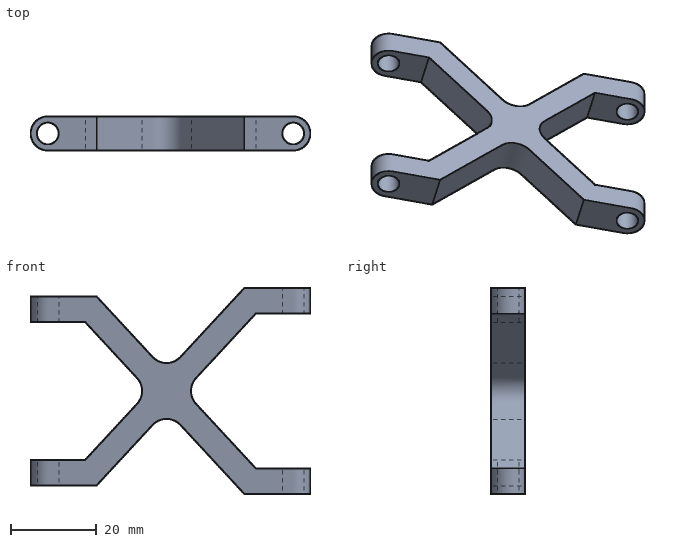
import cadquery as cq

length = 65.15
depth = 8.0
left_height = 44.05
right_height = 48.0
pad_thickness = 6.0
hole_diameter = 5.0
outer_knee_x = 17.2
inner_knee_x = 19.9
crotch_radius = 4.4

end_x = length / 2
end_radius = depth / 2
hole_x = end_x - end_radius
left_top = left_height / 2
right_top = right_height / 2
left_inner = left_top - pad_thickness
right_inner = right_top - pad_thickness


def crossing_on_axis(start, end):
    """X where the line through two (x, z) points meets z = 0."""
    fraction = start[1] / (start[1] - end[1])
    return start[0] + fraction * (end[0] - start[0])


def crossing_of_arms(left_start, left_end, right_start, right_end):
    """(x, z) where the upper edges of the two crossing arms meet."""
    left_slope = (left_end[1] - left_start[1]) / (left_end[0] - left_start[0])
    right_slope = (right_end[1] - right_start[1]) / (right_end[0] - right_start[0])
    rise = right_start[1] - left_start[1]
    x = (rise + left_slope * left_start[0] - right_slope * right_start[0]) / (left_slope - right_slope)
    return x, left_start[1] + left_slope * (x - left_start[0])


def make_cross():
    """X-shaped plate with a horizontal pad at the end of each arm."""
    left_outer_knee = (-outer_knee_x, left_top)
    left_inner_knee = (-inner_knee_x, left_inner)
    right_outer_knee = (outer_knee_x, right_top)
    right_inner_knee = (inner_knee_x, right_inner)

    top_crotch = crossing_of_arms(
        left_outer_knee, (inner_knee_x, -right_inner),
        right_outer_knee, (-inner_knee_x, -left_inner),
    )
    left_crotch = (crossing_on_axis(left_inner_knee, (outer_knee_x, -right_top)), 0)
    right_crotch = (crossing_on_axis(right_inner_knee, (-outer_knee_x, -left_top)), 0)

    upper_outline = [
        left_crotch,
        left_inner_knee,
        (-end_x, left_inner),
        (-end_x, left_top),
        left_outer_knee,
        top_crotch,
        right_outer_knee,
        (end_x, right_top),
        (end_x, right_inner),
        right_inner_knee,
        right_crotch,
    ]
    lower_outline = [(x, -z) for x, z in reversed(upper_outline[1:-1])]
    plate = cq.Workplane("XZ").polyline(upper_outline + lower_outline).close().extrude(depth / 2, both=True)

    crotch_edges = plate.edges("|Y").edges(
        cq.selectors.BoxSelector(
            (-inner_knee_x / 2, -depth, -left_inner / 2),
            (inner_knee_x / 2, depth, left_inner / 2),
        )
    )
    return crotch_edges.fillet(crotch_radius)


def round_ends(body):
    """Give the pads full-round ends, concentric with their holes."""
    slot = cq.Workplane("XY").slot2D(length, depth).extrude(right_height / 2, both=True)
    return body.intersect(slot)


def drill_holes(body):
    """Cut a vertical hole through the upper and lower pads at each end."""
    drills = (
        cq.Workplane("XY")
        .pushPoints([(-hole_x, 0), (hole_x, 0)])
        .circle(hole_diameter / 2)
        .extrude(right_height / 2, both=True)
    )
    return body.cut(drills)


result = drill_holes(round_ends(make_cross()))